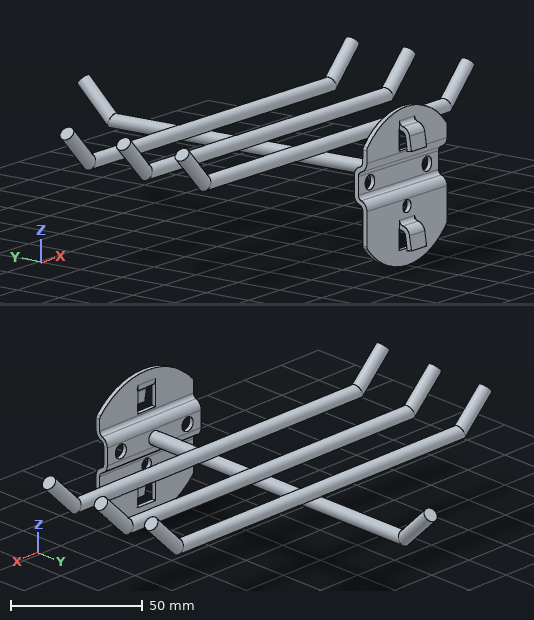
import cadquery as cq
import math


rod_diameter = 6.0
rod_leg = 20.0
rod_bend_angle = math.radians(45)
rod_radius = rod_diameter / 2

plate_width = 51.0
plate_height = 62.5
plate_edge_radius = 33.5
plate_corner_radius = 1.9
sheet = 2.0
inner_bend = 2.0
outer_bend = inner_bend + sheet

web_z = 4.5
web_height = 7.4
web_rise = 4.0

hook_width = 9.6
hook_bend_angle = math.radians(78)
hook_leg_tilt = math.radians(9)
hook_leg = 6.0
hook_slot_height = 11.8
upper_hook_top = 26.5
hook_pitch = 39.0

web_hole_diameter = 6.0
web_hole_spacing = 36.1
lower_hole_diameter = 5.0
lower_hole_z = -8.0

stem_tip_y = 156.6
crossbar_length = 185.1
crossbar_places = (39.2, 67.2, 94.2)

UP = math.pi / 2
DOWN = -math.pi / 2


def polar(point, distance, heading):
    """Point at a distance from another; headings in the YZ plane are measured from +Y to +Z."""
    y, z = point
    return y + distance * math.cos(heading), z + distance * math.sin(heading)


def trace_arcs(profile, start, heading, arcs):
    """Draw a line to start, then tangent arcs of (radius, turn), where a left turn is positive.

    Return the profile and the point where the last arc ends.
    """
    profile = profile.lineTo(*start)
    point = start
    for radius, turn in arcs:
        half_chord = 2 * radius * math.sin(abs(turn) / 4)
        chord = 2 * radius * math.sin(abs(turn) / 2)
        middle = polar(point, half_chord, heading + turn / 4)
        point = polar(point, chord, heading + turn / 2)
        heading += turn
        profile = profile.threePointArc(middle, point)
    return profile, point


def extrude_across(profile, width):
    """Close a YZ profile and extrude it to both sides of X = 0."""
    return profile.close().extrude(width / 2, both=True)


def make_plate_outline():
    """Block with the front outline of the plate: straight sides, arched ends, rounded corners."""
    half_width = plate_width / 2
    half_height = plate_height / 2
    arch_rise = plate_edge_radius - math.sqrt(plate_edge_radius**2 - half_width**2)
    corner_z = half_height - arch_rise
    return (
        cq.Workplane("XZ")
        .moveTo(-half_width, -corner_z)
        .lineTo(-half_width, corner_z)
        .threePointArc((0, half_height), (half_width, corner_z))
        .lineTo(half_width, -corner_z)
        .threePointArc((0, -half_height), (-half_width, -corner_z))
        .close()
        .extrude(-(web_rise + sheet))
        .edges("|Y")
        .fillet(plate_corner_radius)
    )


def make_bent_sheet():
    """Flat sheet with the web raised to +Y between two S-bends."""
    angle = math.acos(1 - web_rise / (inner_bend + outer_bend))
    bend_height = (inner_bend + outer_bend) * math.sin(angle)
    web_top = web_z + web_height / 2
    web_bottom = web_z - web_height / 2
    half_height = plate_height / 2
    left_then_right = ((outer_bend, angle), (inner_bend, -angle))
    right_then_left = ((inner_bend, -angle), (outer_bend, angle))

    profile = cq.Workplane("YZ").moveTo(sheet, -half_height)
    profile, _ = trace_arcs(profile, (sheet, web_bottom - bend_height), UP, right_then_left)
    profile, _ = trace_arcs(profile, (sheet + web_rise, web_top), UP, left_then_right)
    profile = profile.lineTo(sheet, half_height).lineTo(0, half_height)
    profile, _ = trace_arcs(profile, (0, web_top + bend_height), DOWN, left_then_right)
    profile, _ = trace_arcs(profile, (web_rise, web_bottom), DOWN, right_then_left)
    profile = profile.lineTo(0, -half_height)
    return extrude_across(profile, plate_width)


def make_hook(top_z):
    """Tongue that leaves the plate at top_z, bends out to -Y and hangs down."""
    return_angle = hook_bend_angle - hook_leg_tilt
    leg_down = DOWN - hook_leg_tilt
    leg_up = UP - hook_leg_tilt
    front_arcs = ((inner_bend, -hook_bend_angle), (outer_bend, return_angle))
    rear_arcs = ((inner_bend, -return_angle), (outer_bend, hook_bend_angle))

    profile = cq.Workplane("YZ").moveTo(sheet, top_z)
    profile, front_leg_top = trace_arcs(profile, (0, top_z), DOWN, front_arcs)
    front_tip = polar(front_leg_top, hook_leg, leg_down)
    rear_tip = polar(front_tip, sheet, -hook_leg_tilt)
    rear_leg_top = polar(rear_tip, hook_leg, leg_up)
    profile = profile.lineTo(*front_tip).lineTo(*rear_tip)
    profile, _ = trace_arcs(profile, rear_leg_top, leg_up, rear_arcs)
    return extrude_across(profile, hook_width)


def make_hook_slot(top_z):
    """Opening left in the plate by the hook."""
    return (
        cq.Workplane("XY")
        .box(hook_width, sheet, hook_slot_height, centered=(True, False, False))
        .translate((0, 0, top_z - hook_slot_height))
    )


def make_hole(diameter, x, z):
    """Cylinder along Y that passes through the plate and its web."""
    return (
        cq.Workplane("XZ")
        .center(x, z)
        .circle(diameter / 2)
        .extrude(-(web_rise + sheet))
    )


def make_backplate():
    plate = make_bent_sheet().intersect(make_plate_outline())
    for x in (-web_hole_spacing / 2, web_hole_spacing / 2):
        plate = plate.cut(make_hole(web_hole_diameter, x, web_z))
    plate = plate.cut(make_hole(lower_hole_diameter, 0, lower_hole_z))
    for top_z in (upper_hook_top, upper_hook_top - hook_pitch):
        plate = plate.cut(make_hook_slot(top_z)).union(make_hook(top_z))
    return plate


leg_rise = rod_leg * math.sin(rod_bend_angle)
leg_run = rod_leg * math.cos(rod_bend_angle)
bend_to_tip = leg_run + rod_radius * math.sin(rod_bend_angle)


def sweep_rod(path, start_plane):
    """Round rod along a path of straight lines, with mitred bends."""
    return cq.Workplane(start_plane).circle(rod_radius).sweep(path, transition="right")


def make_stem():
    """Rod from the rear of the web to +Y, with its end bent upward."""
    start_y = web_rise + sheet
    bend_y = stem_tip_y - bend_to_tip
    path = (
        cq.Workplane("YZ")
        .moveTo(start_y, web_z)
        .lineTo(bend_y, web_z)
        .lineTo(bend_y + leg_run, web_z + leg_rise)
    )
    start_plane = cq.Plane(origin=(0, start_y, web_z), xDir=(1, 0, 0), normal=(0, 1, 0))
    return sweep_rod(path, start_plane)


def make_hanger():
    """Backplate and stem, welded into one solid."""
    return make_backplate().union(make_stem()).solids()


def make_crossbar(y):
    """Rod along X that rests on the stem, with both ends bent upward."""
    bar_z = web_z + rod_diameter
    bend_x = crossbar_length / 2 - bend_to_tip
    tip_x = bend_x + leg_run
    tip_z = bar_z + leg_rise
    path = (
        cq.Workplane("XZ", origin=(0, y, 0))
        .moveTo(-tip_x, tip_z)
        .lineTo(-bend_x, bar_z)
        .lineTo(bend_x, bar_z)
        .lineTo(tip_x, tip_z)
    )
    start_plane = cq.Plane(origin=(-tip_x, y, tip_z), xDir=(0, 1, 0), normal=(leg_run, 0, -leg_rise))
    return sweep_rod(path, start_plane)


hanger = make_hanger()
crossbars = [make_crossbar(y) for y in crossbar_places]

result = cq.Compound.makeCompound([hanger.val(), *[bar.val() for bar in crossbars]])